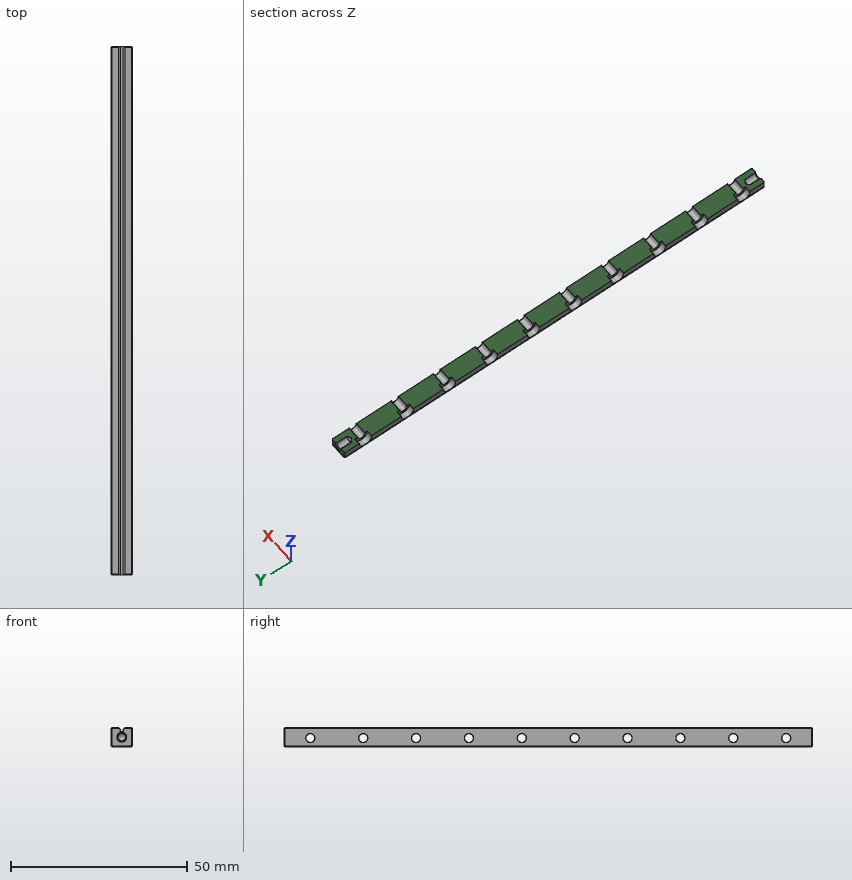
import cadquery as cq
import math

width = 6.0
length = 150.0
height = 5.5
edge_chamfer = 0.3
end_chamfer = 0.3

groove_width = 1.83
groove_angle = 90.0
relief_width = 0.75
relief_depth = 1.1

hole_count = 10
hole_pitch = 15.0
hole_height = 2.5
hole_diameter = 2.5
counterbore_diameter = 4.3
counterbore_depth = 2.0

end_hole_diameter = 2.13
end_hole_mouth_diameter = 2.8
end_hole_depth = 4.0
drill_point_angle = 118.0

half_width = width / 2
half_length = length / 2
half_height = height / 2
mounting_hole_z = hole_height - half_height


def make_body():
    """Rectangular bar with chamfered long edges and chamfered ends."""
    bar = cq.Workplane("XY").box(width, length, height)
    bar = bar.edges("|Y").chamfer(edge_chamfer)
    return bar.faces("<Y or >Y").chamfer(end_chamfer)


def make_groove():
    """V groove along the top face, including its relief slot."""
    half_groove = groove_width / 2
    half_relief = relief_width / 2
    flank_depth = (half_groove - half_relief) / math.tan(math.radians(groove_angle / 2))
    flank_bottom = half_height - flank_depth
    relief_bottom = half_height - relief_depth
    return (
        cq.Workplane("XZ")
        .moveTo(-half_groove, half_height)
        .lineTo(-half_relief, flank_bottom)
        .lineTo(-half_relief, relief_bottom)
        .lineTo(half_relief, relief_bottom)
        .lineTo(half_relief, flank_bottom)
        .lineTo(half_groove, half_height)
        .close()
        .extrude(half_length, both=True)
    )


def make_mounting_holes():
    """Through holes along X, each with a counterbore on the -X side."""
    first_y = -hole_pitch * (hole_count - 1) / 2
    centers = [(first_y + i * hole_pitch, mounting_hole_z) for i in range(hole_count)]
    face = cq.Workplane("YZ", origin=(-half_width, 0, 0)).pushPoints(centers)
    bores = face.circle(hole_diameter / 2).extrude(width)
    counterbores = face.circle(counterbore_diameter / 2).extrude(counterbore_depth)
    return bores.union(counterbores)


def make_end_hole():
    """Blind hole centred in the -Y end with a 45 degree mouth and a conical drill point."""
    radius = end_hole_diameter / 2
    mouth_radius = end_hole_mouth_diameter / 2
    mouth_depth = mouth_radius - radius
    point_length = radius / math.tan(math.radians(drill_point_angle / 2))
    return (
        cq.Workplane("XY", origin=(0, -half_length, 0))
        .moveTo(0, 0)
        .lineTo(mouth_radius, 0)
        .lineTo(radius, mouth_depth)
        .lineTo(radius, end_hole_depth)
        .lineTo(0, end_hole_depth + point_length)
        .close()
        .revolve(360, (0, 0, 0), (0, 1, 0))
    )


front_end_hole = make_end_hole()
rear_end_hole = front_end_hole.mirror("XZ")

result = (
    make_body()
    .cut(make_groove())
    .cut(make_mounting_holes())
    .cut(front_end_hole)
    .cut(rear_end_hole)
)